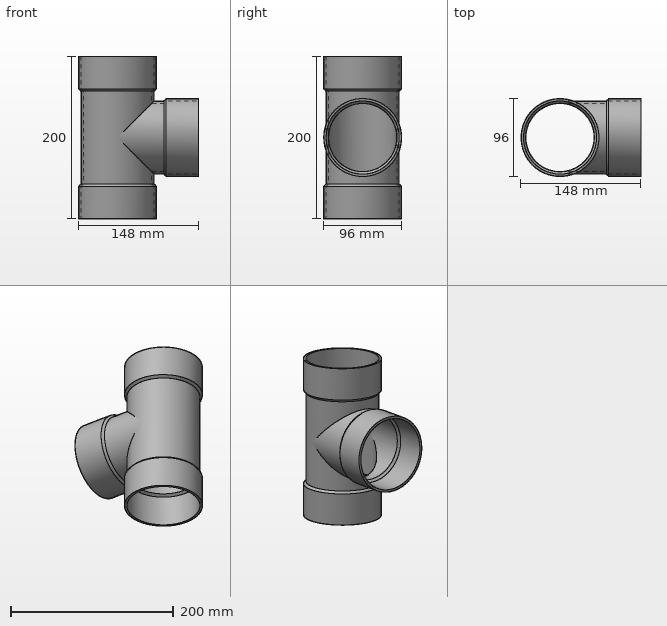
import cadquery as cq

run_length = 200.0
branch_reach = 100.0
bore_diameter = 84.0
wall = 3.0
socket_length = 40.0

bore_radius = bore_diameter / 2
pipe_radius = bore_radius + wall
socket_radius = pipe_radius + wall
half_run = run_length / 2
taper_length = wall


def revolve_about_z(points):
    """Solid of revolution from (radius, z) points."""
    return cq.Workplane("XZ").polyline(points).close().revolve(360, (0, 0), (0, 1))


def run(small_radius, large_radius):
    """Straight run along Z, widened by a taper and a socket at both ends."""
    socket_start = half_run - socket_length
    taper_start = socket_start - taper_length
    return revolve_about_z([
        (0, -half_run),
        (large_radius, -half_run),
        (large_radius, -socket_start),
        (small_radius, -taper_start),
        (small_radius, taper_start),
        (large_radius, socket_start),
        (large_radius, half_run),
        (0, half_run),
    ])


def branch(small_radius, large_radius):
    """Side arm along +X from the run axis, widened at its open end."""
    socket_start = branch_reach - socket_length
    arm = revolve_about_z([
        (0, 0),
        (small_radius, 0),
        (small_radius, socket_start - taper_length),
        (large_radius, socket_start),
        (large_radius, branch_reach),
        (0, branch_reach),
    ])
    return arm.rotate((0, 0, 0), (0, 1, 0), 90)


def tee(small_radius, large_radius):
    """Solid tee: the run joined with its branch."""
    return run(small_radius, large_radius).union(branch(small_radius, large_radius))


body = tee(pipe_radius, socket_radius)
hollow = tee(bore_radius, pipe_radius)
result = body.cut(hollow)